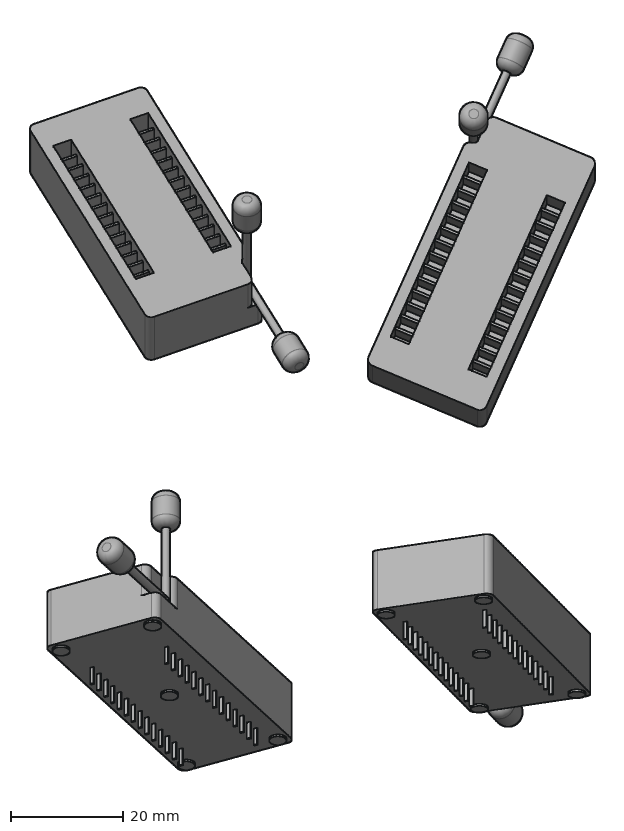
import cadquery as cq


housing_length = 50.8
housing_width = 22.9
housing_height = 11.45
corner_radius = 1.3
base_height = 5.15

contact_count = 14
row_center_x = 23.7
row_spacing = 15.1
pin_span = 33.0
pin_pitch = pin_span / (contact_count - 1)
pin_size_x = 0.35
pin_size_y = 0.7
pin_length = 3.3
cell_length = 2.05
cell_width = 3.5
divider_drop = 1.8

pad_diameter = 3.1
pad_height = 0.4
pad_inset = 2.2

lever_reach = 22.1
rod_diameter = 1.55
rod_radius = rod_diameter / 2
knob_radius = 2.6
knob_length = 7.25
knob_rounding = 1.7
lever_inset = 1.1
lever_clearance = 0.15
pivot_x = 45.7
pivot_y = housing_width / 2 - lever_inset
pivot_z = 5.9
pivot = (pivot_x, pivot_y, pivot_z)

row_positions = [-row_spacing / 2, row_spacing / 2]


def contact_x(index):
    return row_center_x - pin_span / 2 + index * pin_pitch


def make_housing():
    """Rounded block whose cover is cut away at the back, from the lever pivot to the end."""
    base = (
        cq.Workplane("XY")
        .box(housing_length, housing_width, base_height, centered=(False, True, False))
        .edges("|Z")
        .fillet(corner_radius)
    )
    rod_room = rod_radius + lever_clearance
    recess_x = pivot_x - rod_room
    recess_y = pivot_y - rod_room
    back_y = housing_width / 2
    cover_outline = (
        cq.Workplane("XY")
        .workplane(offset=base_height)
        .moveTo(0, -back_y)
        .lineTo(housing_length, -back_y)
        .lineTo(housing_length, recess_y)
        .lineTo(pivot_x, recess_y)
        .radiusArc((recess_x, pivot_y), rod_room)
        .lineTo(recess_x, back_y)
        .lineTo(0, back_y)
        .close()
    )
    cover = cover_outline.extrude(housing_height - base_height)
    outer_corners = [
        (0, -back_y),
        (housing_length, -back_y),
        (housing_length, recess_y),
        (recess_x, back_y),
        (0, back_y),
    ]
    for x, y in outer_corners:
        corner = cq.selectors.NearestToPointSelector((x, y, (base_height + housing_height) / 2))
        cover = cover.edges("|Z").edges(corner).fillet(corner_radius)
    return base.union(cover)


def make_row_opening(row_y):
    """One long slot over the dividers, with a separate cell below it for each contact."""
    slot_length = pin_span + cell_length
    slot = (
        cq.Workplane("XY")
        .box(slot_length, cell_width, divider_drop, centered=(True, True, False))
        .translate((row_center_x, row_y, housing_height - divider_drop))
    )
    cells = (
        cq.Workplane("XY")
        .workplane(offset=base_height)
        .pushPoints([(contact_x(i), row_y) for i in range(contact_count)])
        .rect(cell_length, cell_width)
        .extrude(housing_height - base_height)
    )
    return slot.union(cells)


def make_pins():
    return (
        cq.Workplane("XY")
        .pushPoints([(contact_x(i), y) for y in row_positions for i in range(contact_count)])
        .rect(pin_size_x, pin_size_y)
        .extrude(-pin_length)
    )


def make_pads():
    """A pad near each corner of the base and one at its center."""
    pad_y = housing_width / 2 - pad_inset
    pad_points = [(x, y) for x in (pad_inset, housing_length - pad_inset) for y in (-pad_y, pad_y)]
    pad_points.append((housing_length / 2, 0))
    return cq.Workplane("XY").pushPoints(pad_points).circle(pad_diameter / 2).extrude(-pad_height)


def make_upright_lever():
    """Rod from the pivot up into a cylindrical knob with rounded ends."""
    knob_base = lever_reach - knob_length
    rod = cq.Workplane("XY").circle(rod_radius).extrude(knob_base + knob_rounding)
    knob = (
        cq.Workplane("XY")
        .workplane(offset=knob_base)
        .circle(knob_radius)
        .extrude(knob_length)
        .edges()
        .fillet(knob_rounding)
    )
    return rod.union(knob).translate(pivot)


def make_pivot_shaft():
    """Shaft that carries the levers, running through the cover and flush with the front face."""
    return (
        cq.Workplane("XZ")
        .center(pivot_x, pivot_z)
        .circle(rod_radius)
        .extrude(pivot_y + housing_width / 2)
        .translate((0, pivot_y, 0))
    )


upright_lever = make_upright_lever()
pivot_axis_end = (pivot_x, pivot_y + 0.7, pivot_z)
lowered_lever = upright_lever.rotate(pivot, pivot_axis_end, 90)

result = make_housing()
for row in row_positions:
    result = result.cut(make_row_opening(row))
result = result.union(make_pins()).union(make_pads())
result = result.union(make_pivot_shaft()).union(upright_lever).union(lowered_lever).solids()